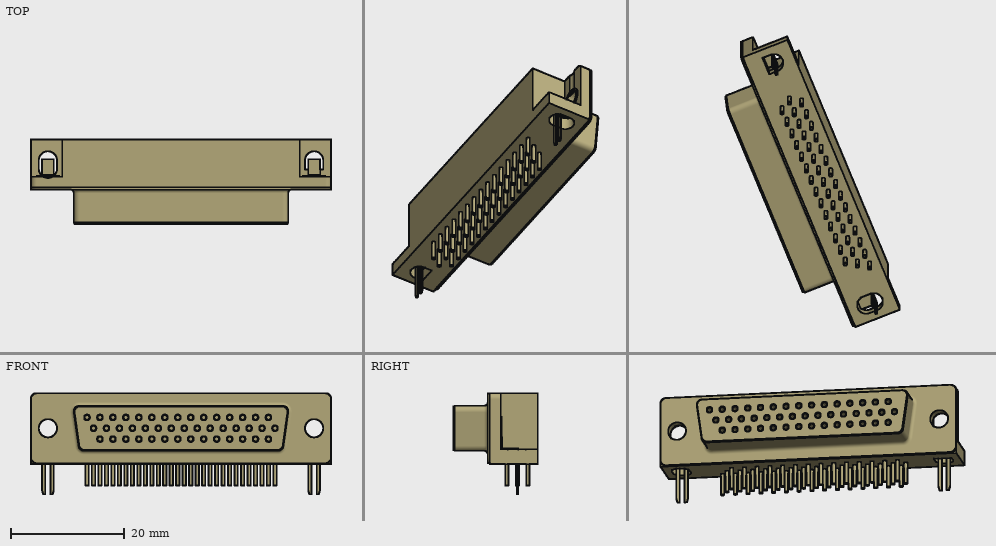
import cadquery as cq
import math


width = 53.1
height = 12.55
block_width = 42.05
flange_back = -6.6
ledge_height = 2.6
corner_radius = 1.0

plate_back = -8.5
plate_front = -8.85
plate_width = 53.05
plate_bottom = 0.15
plate_top = 12.5

shell_front = -15.0
shell_height = 7.95
shell_mid_width = 37.1
shell_side_angle = 8.0
shell_corner_radius = 1.0
shell_base_fillet = 0.65
shell_rim_length = 0.3
shell_rim_inset = 0.15
shell_center_z = 6.3

contact_row_span = 32.05
socket_row_pitch = 1.9
socket_diameter = 0.85
socket_mouth_chamfer = 0.1
socket_mouth_angle = 45.0
socket_depth = 3.2
pin_diameter = 0.65
pin_length = 3.9
pin_chamfer = 0.1
pin_embed = 0.55
pin_row_pitch = 1.85
middle_pin_row_y = -3.6
long_row_count = 15

mount_x = 23.5
mount_hole_diameter = 3.2
slot_width = 3.2
slot_back = -2.1
left_slot_front = -6.8
right_slot_front = -5.3

ring_diameter = 4.0
ring_thickness = 0.15
strap_width = 2.1
strap_thickness = 0.3
strap_rise = 0.15
prong_back = -3.5
prong_thickness = 0.25
prong_gap = 0.85
prong_length = 5.35
prong_taper_length = 0.7
prong_taper_inset = 0.2

contact_pitch = contact_row_span / (long_row_count - 1)
shell_bottom = shell_center_z - shell_height / 2
shell_top = shell_center_z + shell_height / 2


def box(x_size, y_front, y_back, z_bottom, z_top, x_center=0.0):
    """Box centred on x_center, between the given Y and Z limits."""
    return (
        cq.Workplane("XY")
        .box(x_size, y_back - y_front, z_top - z_bottom, centered=(True, False, False))
        .translate((x_center, y_front, z_bottom))
    )


def cylinder_along_y(diameter, y_front, y_back, x, z):
    """Cylinder parallel to Y, centred on x and z."""
    return (
        cq.Workplane("XZ", origin=(x, y_back, z))
        .circle(diameter / 2)
        .extrude(y_back - y_front)
    )


def make_housing():
    """Block, end ledges, flange and face plate in one piece."""
    block = box(block_width, flange_back, 0, 0, height)
    ledges = box(width, flange_back, 0, 0, ledge_height)
    flange = box(width, plate_back, flange_back, 0, height)
    flange = flange.edges("|Y and >Z").fillet(corner_radius)
    plate = box(plate_width, plate_front, plate_back, plate_bottom, plate_top)
    plate = plate.edges("|Y").fillet(corner_radius)
    return block.union(ledges).union(flange).union(plate)


def add_shell(body):
    """Add the D-shaped shell, rounded where it meets the plate and bevelled around its rim."""
    side_shift = shell_height / 2 * math.tan(math.radians(shell_side_angle))
    half_top = shell_mid_width / 2 + side_shift
    half_bottom = shell_mid_width / 2 - side_shift
    shell = (
        cq.Workplane("XZ", origin=(0, plate_front, 0))
        .polyline(
            [
                (-half_bottom, shell_bottom),
                (half_bottom, shell_bottom),
                (half_top, shell_top),
                (-half_top, shell_top),
            ]
        )
        .close()
        .extrude(plate_front - shell_front)
    )
    shell = shell.edges("|Y").fillet(shell_corner_radius)
    shell = shell.faces("<Y").chamfer(shell_rim_length, shell_rim_inset)
    reach = shell_base_fillet / 2
    near_base = cq.selectors.BoxSelector(
        (-half_top - reach, plate_front - reach, shell_bottom - reach),
        (half_top + reach, plate_front + reach, shell_top + reach),
    )
    return body.union(shell).edges(near_base).fillet(shell_base_fillet)


def contact_rows():
    """X positions of the contacts in the top, middle and bottom rows."""
    top_start = -contact_row_span / 2 - contact_pitch / 4
    top = [top_start + i * contact_pitch for i in range(long_row_count)]
    middle = [x + contact_pitch / 2 for x in top]
    bottom = top[1:]
    return [top, middle, bottom]


def make_sockets():
    """Blind socket bores, each opening through a countersunk mouth."""
    sockets = cq.Workplane("XZ", origin=(0, shell_front + socket_depth, 0))
    mouths = cq.Workplane("XZ", origin=(0, shell_front + socket_mouth_chamfer, 0))
    for row, x_positions in enumerate(contact_rows()):
        z = shell_center_z + (1 - row) * socket_row_pitch
        centers = [(x, z) for x in x_positions]
        sockets = sockets.pushPoints(centers).circle(socket_diameter / 2).extrude(socket_depth)
        mouths = mouths.pushPoints(centers).circle(socket_diameter / 2)
        mouths = mouths.extrude(socket_mouth_chamfer, taper=-socket_mouth_angle)
    return sockets.union(mouths)


def make_pins():
    """Tail pins; the top socket row feeds the rearmost pin row."""
    points = []
    for row, x_positions in enumerate(contact_rows()):
        y = middle_pin_row_y + (1 - row) * pin_row_pitch
        points += [(x, y) for x in x_positions]
    return (
        cq.Workplane("XY", origin=(0, 0, -pin_length))
        .pushPoints(points)
        .circle(pin_diameter / 2)
        .extrude(pin_length + pin_embed)
        .faces("<Z")
        .chamfer(pin_chamfer)
    )


def make_left_slot():
    """Round-ended slot that also grazes the back of the flange over its full height."""
    return (
        cq.Workplane("XY", origin=(-mount_x, (slot_back + left_slot_front) / 2, 0))
        .slot2D(slot_back - left_slot_front, slot_width, 90)
        .extrude(height)
    )


def make_right_slot():
    """Slot through the ledge with a round back end and a square front end."""
    arc_center_y = slot_back - slot_width / 2
    straight = box(slot_width, right_slot_front, arc_center_y, 0, ledge_height, mount_x)
    round_end = (
        cq.Workplane("XY", origin=(mount_x, arc_center_y, 0))
        .circle(slot_width / 2)
        .extrude(ledge_height)
    )
    return straight.union(round_end)


def make_board_lock(x):
    """Ring and strap behind the flange, bent back over the ledge and down into two prongs."""
    ring_back = flange_back + ring_thickness
    ring = cylinder_along_y(ring_diameter, flange_back, ring_back, x, shell_center_z)
    strap_top = ledge_height + strap_rise
    hole_bottom = shell_center_z - mount_hole_diameter / 2
    upright = box(
        strap_width, flange_back, flange_back + strap_thickness, ledge_height, hole_bottom, x
    )
    tab = box(
        strap_width, flange_back, prong_back, strap_top - strap_thickness, strap_top, x
    )
    outer = strap_width / 2
    inner = prong_gap / 2
    tip = outer - prong_taper_inset
    taper_top = -prong_length + prong_taper_length
    lock = ring.union(upright).union(tab)
    for side in (-1, 1):
        prong = (
            cq.Workplane("XZ", origin=(x, prong_back, 0))
            .polyline(
                [
                    (side * inner, strap_top),
                    (side * outer, strap_top),
                    (side * outer, taper_top),
                    (side * tip, -prong_length),
                    (side * inner, -prong_length),
                ]
            )
            .close()
            .extrude(prong_thickness)
        )
        lock = lock.union(prong)
    return lock


body = add_shell(make_housing())
body = body.cut(make_sockets())
body = body.cut(make_left_slot()).cut(make_right_slot())
body = body.union(make_pins())
for mount_center in (-mount_x, mount_x):
    body = body.union(make_board_lock(mount_center))
    body = body.cut(
        cylinder_along_y(mount_hole_diameter, plate_front, 0, mount_center, shell_center_z)
    )
result = body